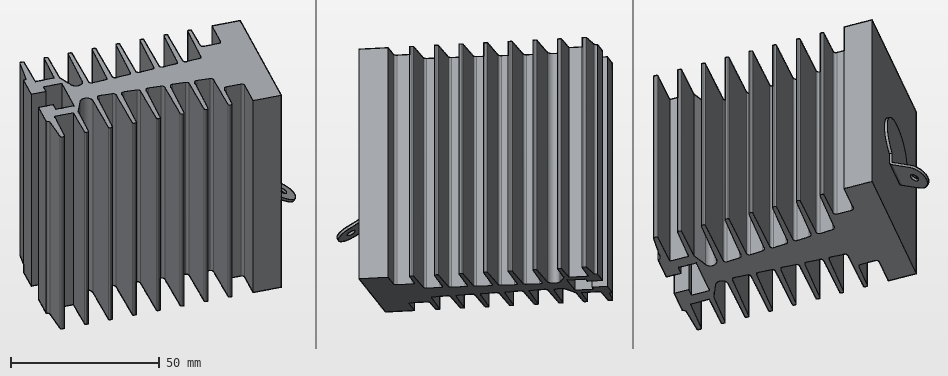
import cadquery as cq
import math

width = 45.0
depth = 80.0
height = 80.0
half_width = width / 2
base_thickness = 10.0
base_underside = depth - base_thickness

fin_count = 8
fin_pitch = 8.5
first_fin_y = 2.7
foot_fin = 0
ramp_fin = 1
lowest_web_fin = 2
top_fin = fin_count - 1
fin_tip_half = 0.69
fin_taper = 0.018
fin_tip_radius = 0.5

neck_half = 12.25
web_top_half = 6.1
web_taper = 0.055
root_radius = 1.0
ramp_root_radius = 2.2

foot_half = 10.5
ramp_low_x = 10.1
ramp_slope = 0.46
foot_tip_y = 1.8
foot_sole_half = 12.4
foot_step = 1.0
foot_step_radius = 1.0
slot_half = 6.7
slot_top = 11.7
mouth_half = 4.0
lip_height = 5.25

sheet = 1.0
pad_diameter = 20.0
tab_width = 10.0
tab_hole_diameter = 3.0
bend_drop = 13.2
bend_radius = 0.55
tab_angle = 30
tab_reach = 12.1

clearance = 0.9


def fin_y(index):
    return first_fin_y + index * fin_pitch


def fin_half(x):
    return fin_tip_half + fin_taper * (half_width - x)


def web_half(y):
    return web_top_half - web_taper * (fin_y(top_fin) - y)


def fin_top(index, x):
    return (x, fin_y(index) + fin_half(x))


def fin_bottom(index, x):
    return (x, fin_y(index) - fin_half(x))


def prism(points):
    return cq.Workplane("XY").polyline(points).close().extrude(height)


def cut_both_sides(body, cutter):
    return body.cut(cutter).cut(cutter.mirror("YZ"))


def round_root(cutter, corner_x, radius):
    """Round the cutter's upright edges that lie no further out than corner_x."""
    margin = 0.1
    reach = cq.selectors.BoxSelector(
        (-half_width, 0, 0), (corner_x + margin, depth, height))
    return cutter.edges("|Z").edges(reach).fillet(radius)


def neck_gap():
    """Gap between the base and the top fin."""
    outer = half_width + clearance
    gap = prism([
        (outer, base_underside),
        (neck_half, base_underside),
        fin_top(top_fin, neck_half),
        fin_top(top_fin, outer),
    ])
    return round_root(gap, neck_half, root_radius)


def web_gap(index):
    """Gap between fin number index and the fin above it."""
    outer = half_width + clearance
    upper_x = web_half(fin_y(index + 1))
    lower_x = web_half(fin_y(index))
    gap = prism([
        fin_bottom(index + 1, outer),
        fin_bottom(index + 1, upper_x),
        fin_top(index, lower_x),
        fin_top(index, outer),
    ])
    return round_root(gap, upper_x, root_radius)


def ramp_gap():
    """Gap above the foot: a wedge between a fin and the ramp, with a round root."""
    outer = half_width + clearance
    ramp_low = fin_top(ramp_fin, ramp_low_x)
    ramp_at_centre = ramp_low[1] + ramp_slope * ramp_low_x
    fin_at_centre = fin_bottom(lowest_web_fin, 0)[1]
    apex_x = (ramp_at_centre - fin_at_centre) / (ramp_slope + fin_taper)
    gap = prism([
        fin_bottom(lowest_web_fin, outer),
        fin_bottom(lowest_web_fin, apex_x),
        ramp_low,
        fin_top(ramp_fin, outer),
    ])
    return round_root(gap, apex_x, ramp_root_radius)


def foot_gap():
    """Square gap between the two lowest fins."""
    outer = half_width + clearance
    return prism([
        fin_bottom(ramp_fin, outer),
        fin_bottom(ramp_fin, foot_half),
        fin_top(foot_fin, foot_half),
        fin_top(foot_fin, outer),
    ])


def sole_relief():
    """Clears the space under the lowest fin, outside the sole."""
    outer = half_width + clearance
    underside_slope = (foot_tip_y - foot_step) / (half_width - foot_sole_half)
    relief = prism([
        (foot_sole_half, -clearance),
        (foot_sole_half, foot_step),
        (outer, foot_tip_y + clearance * underside_slope),
        (outer, -clearance),
    ])
    return round_root(relief, foot_sole_half, foot_step_radius)


def t_slot():
    chamber = cq.Workplane("XY").box(
        2 * slot_half, slot_top - lip_height, height, centered=(True, False, False)
    ).translate((0, lip_height, 0))
    mouth = cq.Workplane("XY").box(
        2 * mouth_half, slot_top, height, centered=(True, False, False))
    return chamber.union(mouth)


def make_heat_sink():
    body = cq.Workplane("XY").box(width, depth, height, centered=(True, False, False))
    body = cut_both_sides(body, neck_gap())
    for index in range(lowest_web_fin, top_fin):
        body = cut_both_sides(body, web_gap(index))
    body = cut_both_sides(body, ramp_gap())
    body = cut_both_sides(body, foot_gap())
    body = cut_both_sides(body, sole_relief())
    body = body.cut(t_slot())
    below_base = cq.selectors.BoxSelector(
        (-width, 0, 0), (width, base_underside - clearance, height))
    tips = body.faces("<X or >X").edges("|Z").edges(below_base)
    return body.newObject(tips.vals()).fillet(fin_tip_radius)


def round_edge_at(body, y, z, radius):
    """Round the edge along X that passes through the given y and z."""
    return body.edges(cq.selectors.NearestToPointSelector((0, y, z))).fillet(radius)


def make_terminal():
    slope = math.radians(tab_angle)
    end_radius = tab_width / 2
    middle = height / 2
    face = depth
    front = depth + sheet

    pad = cq.Workplane("XZ", origin=(0, face, middle)).circle(pad_diameter / 2).extrude(-sheet)

    bend_z = middle - bend_drop
    back_bend_z = bend_z - sheet * math.tan((math.pi / 2 - slope) / 2)
    tip_y = depth + tab_reach
    tip_z = bend_z - (tip_y - front) * math.tan(slope)
    strip = (
        cq.Workplane("YZ")
        .polyline([
            (face, middle),
            (front, middle),
            (front, bend_z),
            (tip_y, tip_z),
            (tip_y - sheet * math.sin(slope), tip_z - sheet * math.cos(slope)),
            (face, back_bend_z),
        ])
        .close()
        .extrude(end_radius, both=True)
    )
    strip = round_edge_at(strip, front, bend_z, bend_radius)
    strip = round_edge_at(strip, face, back_bend_z, bend_radius + sheet)

    bent_plane = cq.Plane(
        origin=(0, tip_y, tip_z),
        xDir=(1, 0, 0),
        normal=(0, math.sin(slope), math.cos(slope)),
    )
    square_end = cq.Workplane(bent_plane).rect(tab_width, 2 * end_radius).extrude(-sheet)
    round_end = cq.Workplane(bent_plane).center(0, -end_radius).circle(end_radius).extrude(-sheet)
    hole = (
        cq.Workplane(bent_plane)
        .center(0, -end_radius)
        .circle(tab_hole_diameter / 2)
        .extrude(-sheet)
    )
    return strip.cut(square_end).union(round_end).cut(hole).union(pad)


heat_sink = make_heat_sink()
terminal = make_terminal()

result = cq.Compound.makeCompound([heat_sink.val(), terminal.val()])